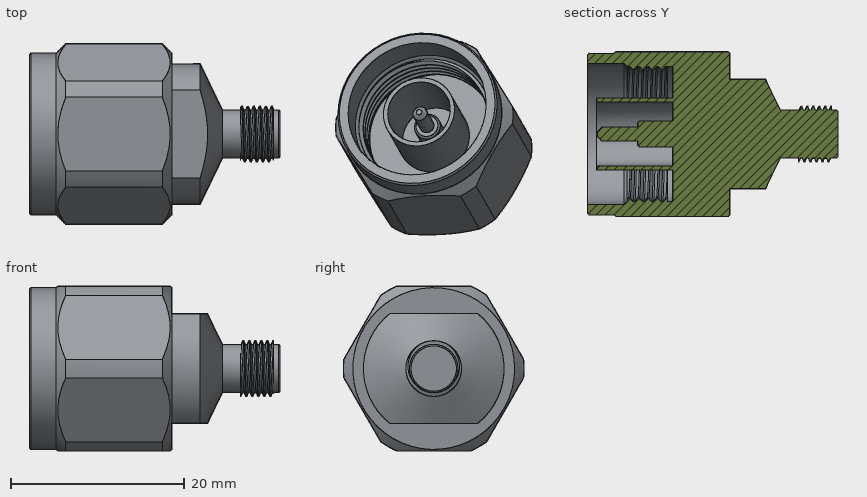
import cadquery as cq
import math

LENGTH = 28.95

COLLAR_DIA = 18.75
COLLAR_LENGTH = 3.1
COLLAR_CHAMFER = 0.2
HEX_FLATS = 19.05
HEX_CORNER_DIA = 20.88
HEX_END = 16.45
HEX_CHAMFER = 1.1

BORE_DIA = 16.25
BORE_DEPTH = 4.23
NUT_THREAD_MAJOR = 15.58
NUT_THREAD_MINOR = 14.75
NUT_THREAD_PITCH = 1.07
CAVITY_DEPTH = 9.85
LEAD_IN_LENGTH = (BORE_DIA - NUT_THREAD_MAJOR) / 2
NUT_THREAD_START = BORE_DEPTH + LEAD_IN_LENGTH
NUT_THREAD_END = 9.27
NUT_THREAD_OFFSET = 0.3
NUT_THREAD_ROOT_WIDTH = 0.98
NUT_THREAD_CREST_WIDTH = 0.17

SLEEVE_OUTER_DIA = 8.37
SLEEVE_INNER_DIA = 7.35
SLEEVE_FRONT = 1.07
PIN_BASE_DIA = 3.05
PIN_BASE_FRONT = 5.8
PIN_BASE_CHAMFER = 0.23
PIN_DIA = 1.65
PIN_FRONT = 1.15
PIN_TIP_DIA = 0.65
PIN_TIP_LENGTH = 0.5

BODY_DIA = 16.25
BODY_FLATS = 12.68
BODY_END = 19.72
CONE_END = 22.3
JACK_DIA = 5.6
JACK_CHAMFER = 0.17
JACK_THREAD_DIA = 6.43
JACK_THREAD_PITCH = 0.7
JACK_THREAD_START = 24.35
JACK_THREAD_END = 28.18
JACK_THREAD_OFFSET = 0.0
JACK_THREAD_ROOT_WIDTH = 0.55
JACK_THREAD_CREST_WIDTH = 0.12

THREAD_OVERLAP = 0.05


def revolve_x(points):
    """Revolve a closed (x, radius) outline about the X axis."""
    return cq.Workplane("XY").polyline(points).close().revolve(360, (0, 0, 0), (1, 0, 0))


def cylinder_x(diameter, start, end):
    return cq.Workplane("YZ", origin=(start, 0, 0)).circle(diameter / 2).extrude(end - start)


def thread_ridge(root_radius, crest_radius, pitch, start, end, offset, root_width, crest_width):
    """Right-handed helical ridge on the X axis, trimmed square at start and end.

    On the -Z side, a crest lies at the given offset past the start.
    """
    sink = math.copysign(THREAD_OVERLAP, root_radius - crest_radius)
    base_radius = root_radius + sink
    turns = math.ceil((end - start) / pitch) + 2
    helix = cq.Wire.makeHelix(pitch, pitch * turns, base_radius)
    profile = cq.Workplane("XZ").polyline([
        (base_radius, -root_width / 2),
        (crest_radius, -crest_width / 2),
        (crest_radius, crest_width / 2),
        (base_radius, root_width / 2),
    ]).close()
    ridge = profile.sweep(cq.Workplane(obj=helix), isFrenet=True)
    ridge = ridge.rotate((0, 0, 0), (0, 1, 0), 90).translate((start + offset - pitch, 0, 0))
    return ridge.intersect(cylinder_x(HEX_CORNER_DIA, start, end))


def make_nut():
    collar = cylinder_x(COLLAR_DIA, 0, COLLAR_LENGTH).faces("<X").chamfer(COLLAR_CHAMFER)
    hexagon = (
        cq.Workplane("YZ", origin=(COLLAR_LENGTH, 0, 0))
        .polygon(6, HEX_FLATS / math.cos(math.pi / 6))
        .extrude(HEX_END - COLLAR_LENGTH)
    )
    corner_limit = cylinder_x(HEX_CORNER_DIA, COLLAR_LENGTH, HEX_END).faces("<X or >X").chamfer(HEX_CHAMFER)
    return collar.union(hexagon.intersect(corner_limit))


def make_cavity():
    return revolve_x([
        (0, 0),
        (0, BORE_DIA / 2),
        (BORE_DEPTH, BORE_DIA / 2),
        (BORE_DEPTH + LEAD_IN_LENGTH, NUT_THREAD_MAJOR / 2),
        (CAVITY_DEPTH, NUT_THREAD_MAJOR / 2),
        (CAVITY_DEPTH, 0),
    ])


def make_contacts():
    sleeve = cylinder_x(SLEEVE_OUTER_DIA, SLEEVE_FRONT, CAVITY_DEPTH)
    sleeve = sleeve.cut(cylinder_x(SLEEVE_INNER_DIA, SLEEVE_FRONT, CAVITY_DEPTH))
    pin = revolve_x([
        (PIN_FRONT, 0),
        (PIN_FRONT, PIN_TIP_DIA / 2),
        (PIN_FRONT + PIN_TIP_LENGTH, PIN_DIA / 2),
        (PIN_BASE_FRONT, PIN_DIA / 2),
        (PIN_BASE_FRONT, PIN_BASE_DIA / 2 - PIN_BASE_CHAMFER),
        (PIN_BASE_FRONT + PIN_BASE_CHAMFER, PIN_BASE_DIA / 2),
        (CAVITY_DEPTH, PIN_BASE_DIA / 2),
        (CAVITY_DEPTH, 0),
    ])
    return sleeve, pin


def make_rear_body():
    body = revolve_x([
        (HEX_END, 0),
        (HEX_END, BODY_DIA / 2),
        (BODY_END, BODY_DIA / 2),
        (CONE_END, JACK_DIA / 2),
        (CONE_END, 0),
    ])
    body_length = CONE_END - HEX_END
    flats = cq.Workplane("XY").box(body_length, BODY_DIA, BODY_FLATS)
    return body.intersect(flats.translate((HEX_END + body_length / 2, 0, 0)))


def make_jack():
    barrel = cylinder_x(JACK_DIA, CONE_END, LENGTH).faces(">X").chamfer(JACK_CHAMFER)
    ridge = thread_ridge(
        JACK_DIA / 2, JACK_THREAD_DIA / 2, JACK_THREAD_PITCH,
        JACK_THREAD_START, JACK_THREAD_END, JACK_THREAD_OFFSET,
        root_width=JACK_THREAD_ROOT_WIDTH, crest_width=JACK_THREAD_CREST_WIDTH,
    )
    return barrel.union(ridge)


def make_nut_thread():
    return thread_ridge(
        NUT_THREAD_MAJOR / 2, NUT_THREAD_MINOR / 2, NUT_THREAD_PITCH,
        NUT_THREAD_START, NUT_THREAD_END, NUT_THREAD_OFFSET,
        root_width=NUT_THREAD_ROOT_WIDTH, crest_width=NUT_THREAD_CREST_WIDTH,
    )


sleeve, pin = make_contacts()
result = make_nut().cut(make_cavity()).union(make_nut_thread())
result = result.union(make_rear_body()).union(make_jack())
result = result.union(sleeve).union(pin)